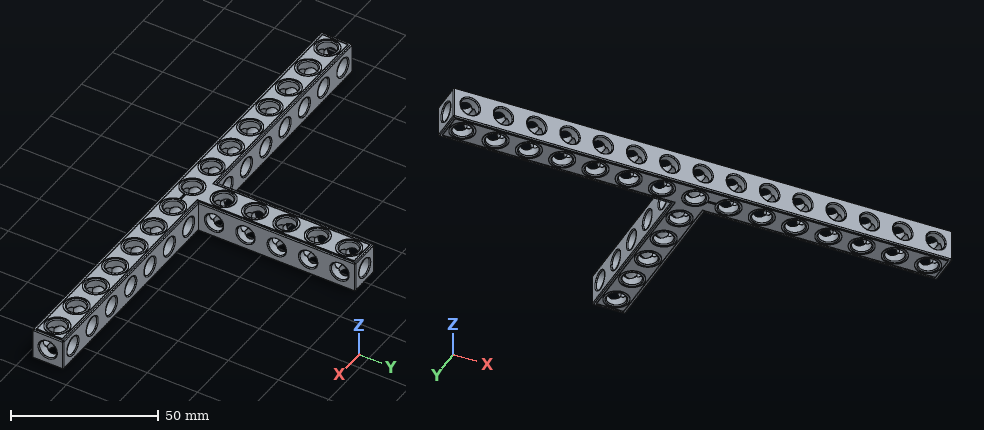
import cadquery as cq

bar_length = 187.5
bar_cells = 15
branch_cells = 5
bore_diameter = 7.0
rim_diameter = 9.2
edge_chamfer = 0.4
panel_depth = 0.2
bridge_width = 0.5

pitch = bar_length / bar_cells
half_width = pitch / 2
half_length = bar_length / 2
branch_end = half_width + branch_cells * pitch
bore_radius = bore_diameter / 2
rim_width = (rim_diameter - bore_diameter) / 2

bar_xs = [(i + 0.5) * pitch - half_length for i in range(bar_cells)]
branch_ys = [(i + 1) * pitch for i in range(branch_cells)]
row_ys = [0.0] + branch_ys
vertical_centres = [(x, 0.0) for x in bar_xs] + [(0.0, y) for y in branch_ys]


def tee_outline():
    return (
        cq.Workplane("XY")
        .moveTo(-half_length, -half_width)
        .lineTo(half_length, -half_width)
        .lineTo(half_length, half_width)
        .lineTo(half_width, half_width)
        .lineTo(half_width, branch_end)
        .lineTo(-half_width, branch_end)
        .lineTo(-half_width, half_width)
        .lineTo(-half_length, half_width)
        .close()
    )


def chamfered_tee():
    """T body with every edge chamfered except the two inner corners."""
    body = tee_outline().extrude(half_width, both=True)
    outer_edges = "|X or |Y or (|Z and (<X or >X or >Y))"
    return body.edges(outer_edges).chamfer(edge_chamfer)


def recessed_panel(bottom_z):
    """Shallow panel that leaves a flat rim along the outline and around each bore.

    A narrow bridge joins the rim of the middle bore to that of its +X neighbour.
    """
    panel = tee_outline().offset2D(-rim_width, "intersection").extrude(panel_depth)
    bore_rims = (
        cq.Workplane("XY")
        .pushPoints(vertical_centres)
        .circle(rim_diameter / 2)
        .extrude(panel_depth)
    )
    bridge = (
        cq.Workplane("XY")
        .center(half_width, 0)
        .rect(pitch - bore_diameter, bridge_width)
        .extrude(panel_depth)
    )
    return panel.cut(bore_rims).cut(bridge).translate((0, 0, bottom_z))


def bore_cutter(start, end):
    """Straight bore between two face centres, flared at both mouths."""
    first = cq.Vector(*start)
    last = cq.Vector(*end)
    axis = (last - first).normalized()
    bore = cq.Solid.makeCylinder(bore_radius, (last - first).Length, first, axis)
    cutter = cq.Workplane(obj=bore)
    for mouth, inward in ((first, axis), (last, axis * -1)):
        flare = cq.Solid.makeCone(bore_radius + edge_chamfer, bore_radius, edge_chamfer, mouth, inward)
        cutter = cutter.union(cq.Workplane(obj=flare))
    return cutter


def bore_ends():
    """Start and end points of every bore along Z, Y and X."""
    ends = [((x, y, -half_width), (x, y, half_width)) for x, y in vertical_centres]
    middle_cell = bar_cells // 2
    for cell, x in enumerate(bar_xs):
        far_y = branch_end if cell == middle_cell else half_width
        ends.append(((x, -half_width, 0), (x, far_y, 0)))
    for y in row_ys:
        reach = half_length if y == 0 else half_width
        ends.append(((-reach, y, 0), (reach, y, 0)))
    return ends


result = chamfered_tee()
for panel_bottom in (-half_width, half_width - panel_depth):
    result = result.cut(recessed_panel(panel_bottom))
for bore_start, bore_end in bore_ends():
    result = result.cut(bore_cutter(bore_start, bore_end))